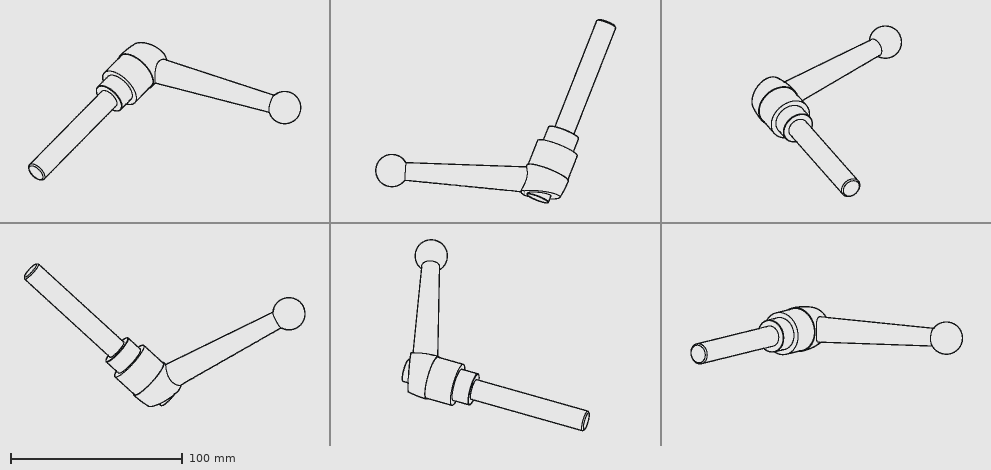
import cadquery as cq
import math

total_length = 136.8

stud_diameter = 12.0
stud_chamfer = 0.8
collar_start = 69.9
collar_diameter = 19.0
collar_chamfer = 0.3
hub_start = 80.0
hub_diameter = 25.0

head_start = 95.8
head_diameter = 26.0
head_arc_radius = 57.5
head_top = 112.0
slope_height = 109.7
slope_angle = 14.7

button_diameter = 13.5
button_top = 112.2
button_chamfer = 0.3

ball_diameter = 19.0
total_width = 108.0
arm_angle = 17.2
arm_taper = 1.8
arm_tip_diameter = 10.5
arm_start_offset = 4.1

ball_radius = ball_diameter / 2
ball_x = total_width - head_diameter / 2 - ball_radius
ball_y = total_length - ball_radius


def shaft(diameter, start, end):
    """Cylinder around the stud axis between two heights."""
    plane = cq.Workplane(cq.Plane(origin=(0, start, 0), xDir=(1, 0, 0), normal=(0, 1, 0)))
    return plane.circle(diameter / 2).extrude(end - start)


def make_head():
    """Revolved barrel with its top sloping up towards the arm."""
    radius = head_diameter / 2
    arc_center = radius - head_arc_radius

    def radius_at(height):
        return arc_center + math.sqrt(head_arc_radius**2 - (height - head_start) ** 2)

    middle = (head_start + head_top) / 2
    barrel = (
        cq.Workplane("XY")
        .moveTo(0, head_start)
        .lineTo(radius, head_start)
        .threePointArc((radius_at(middle), middle), (radius_at(head_top), head_top))
        .lineTo(0, head_top)
        .close()
        .revolve(360, (0, 0, 0), (0, 1, 0))
    )
    waste = (
        cq.Workplane("XY")
        .rect(4 * head_diameter, head_diameter)
        .extrude(head_diameter, both=True)
        .translate((0, head_diameter / 2, 0))
        .rotate((0, 0, 0), (0, 0, 1), slope_angle)
        .translate((0, slope_height, 0))
    )
    return barrel.cut(waste)


def make_arm():
    """Cone from inside the head to the centre of the ball."""
    angle = math.radians(arm_angle)
    taper = math.tan(math.radians(arm_taper))
    length = (ball_x - arm_start_offset) / math.cos(angle)
    tip_radius = arm_tip_diameter / 2
    tip_distance = length - math.sqrt(ball_radius**2 - tip_radius**2)
    start_radius = tip_radius + tip_distance * taper
    direction = cq.Vector(math.cos(angle), math.sin(angle), 0)
    center = cq.Vector(ball_x, ball_y, 0)
    cone = cq.Solid.makeCone(
        start_radius, start_radius - length * taper, length, center - direction * length, direction
    )
    return cq.Workplane(cone)


stud = shaft(stud_diameter, 0, collar_start).faces("<Y").chamfer(stud_chamfer)
collar = shaft(collar_diameter, collar_start, hub_start).faces("<Y").chamfer(collar_chamfer)
hub = shaft(hub_diameter, hub_start, head_start)
button = shaft(button_diameter, head_start, button_top).faces(">Y").chamfer(button_chamfer)
ball = cq.Workplane("XY").sphere(ball_radius).translate((ball_x, ball_y, 0))

result = stud.union(collar).union(hub).union(make_head()).union(button).union(make_arm()).union(ball)